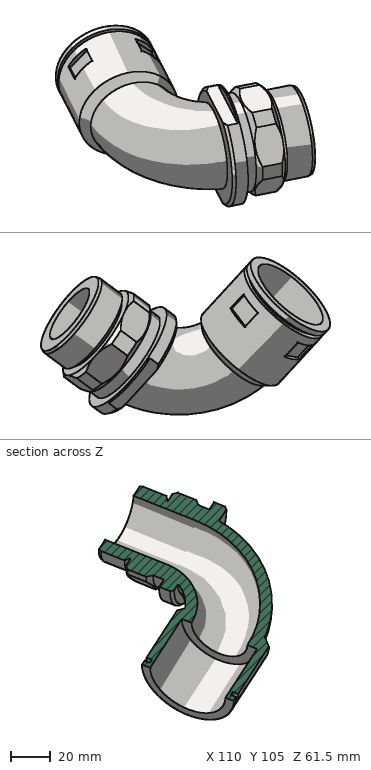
import cadquery as cq
import math

OVERALL_X = 110.0
OVERALL_Y = 105.0

FLANGE_DIA = 61.5
SLEEVE_DIA = 52.0
PIPE_DIA = 44.0
BORE_DIA = 31.5
BEND_RADIUS = 44.0

SOCKET_DIA = 42.5
GROOVE_DIA = 46.0
GROOVE_START = 3.1
GROOVE_END = 5.1
SLEEVE_LENGTH = 39.5
CONE_TIP_RADIUS = 18.7

WINDOW_START = 10.0
WINDOW_LENGTH = 10.3
WINDOW_WIDTH = 13.2
WINDOW_FLOOR = 23.9
WINDOW_COUNT = 4

FLANGE_BOTTOM = 59.1
FLANGE_TOP = 67.0
FLANGE_CHAMFER = 1.5
FLANGE_FLATS_WIDTH = SLEEVE_DIA
FLANGE_RIM = 1.0
COLLAR_DIA = 51.0
NUT_BOTTOM = 72.9
NUT_TOP = 88.1
NUT_FLATS_WIDTH = SLEEVE_DIA
NUT_CORNER_DIA = 55.9
NUT_BOTTOM_CHAMFER = 2.6
NUT_TOP_CHAMFER = 2.1
NUT_TOP_DIA = 52.1
NECK_DIA = 41.5
THREAD_DIA = 47.0
THREAD_START = 90.1
THREAD_CHAMFER_HEIGHT = 1.6
THREAD_TIP_DIA = 45.8

SLEEVE_RADIUS = SLEEVE_DIA / 2
SLEEVE_AXIS_Y = SLEEVE_RADIUS
STEM_AXIS_X = OVERALL_X - FLANGE_DIA / 2
BEND_START_X = STEM_AXIS_X - BEND_RADIUS
BEND_END_Y = SLEEVE_AXIS_Y + BEND_RADIUS


def elbow(diameter):
    """Quarter torus from the sleeve axis (+X) round to the stem axis (+Y)."""
    return (
        cq.Workplane("YZ", origin=(BEND_START_X, SLEEVE_AXIS_Y, 0))
        .circle(diameter / 2)
        .revolve(90, (BEND_RADIUS, 0, 0), (BEND_RADIUS, 1, 0))
    )


def turned_about_sleeve_axis(profile):
    """Revolve (x, radius) points about the sleeve axis."""
    return (
        cq.Workplane("XY", origin=(0, SLEEVE_AXIS_Y, 0))
        .polyline(profile)
        .close()
        .revolve(360, (0, 0, 0), (1, 0, 0))
    )


def turned_about_stem_axis(profile):
    """Revolve (radius, y) points about the stem axis."""
    return (
        cq.Workplane("XY", origin=(STEM_AXIS_X, 0, 0))
        .polyline(profile)
        .close()
        .revolve(360, (0, 0, 0), (0, 1, 0))
    )


def stem_cylinder(diameter, bottom, top):
    """Cylinder on the stem axis between two Y heights."""
    radius = diameter / 2
    return turned_about_stem_axis([(0, bottom), (radius, bottom), (radius, top), (0, top)])


def sleeve():
    """Grooved sleeve that ends in a 45 degree cone running into the pipe."""
    groove_radius = GROOVE_DIA / 2
    cone_end = SLEEVE_LENGTH + SLEEVE_RADIUS - CONE_TIP_RADIUS
    return turned_about_sleeve_axis([
        (0, 0),
        (0, SLEEVE_RADIUS),
        (GROOVE_START, SLEEVE_RADIUS),
        (GROOVE_START, groove_radius),
        (GROOVE_END, groove_radius),
        (GROOVE_END, SLEEVE_RADIUS),
        (SLEEVE_LENGTH, SLEEVE_RADIUS),
        (cone_end, CONE_TIP_RADIUS),
        (cone_end, 0),
    ])


def latch_windows():
    """Flat-bottomed pockets at 45 degrees to the Y and Z axes."""
    pocket = cq.Workplane("XY").box(
        WINDOW_LENGTH, WINDOW_WIDTH, SLEEVE_RADIUS, centered=(False, True, False)
    ).translate((WINDOW_START, 0, WINDOW_FLOOR))
    pitch = 360 / WINDOW_COUNT
    windows = cq.Workplane("XY")
    for index in range(WINDOW_COUNT):
        angle = pitch * (index + 0.5)
        windows = windows.add(pocket.rotate((0, 0, 0), (1, 0, 0), angle))
    return windows.combine().translate((0, SLEEVE_AXIS_Y, 0))


def flange():
    """Round flange with a chamfered lower edge and two wrench flats."""
    radius = FLANGE_DIA / 2
    disc = turned_about_stem_axis([
        (0, FLANGE_BOTTOM),
        (radius - FLANGE_CHAMFER, FLANGE_BOTTOM),
        (radius, FLANGE_BOTTOM + FLANGE_CHAMFER),
        (radius, FLANGE_TOP),
        (0, FLANGE_TOP),
    ])
    flats_height = FLANGE_TOP - FLANGE_RIM - FLANGE_BOTTOM
    for side in (1, -1):
        waste = cq.Workplane("XY").box(
            FLANGE_DIA, flats_height, FLANGE_DIA, centered=(True, False, True)
        )
        waste_z = side * (FLANGE_FLATS_WIDTH + FLANGE_DIA) / 2
        disc = disc.cut(waste.translate((STEM_AXIS_X, FLANGE_BOTTOM, waste_z)))
    return disc


def nut():
    """Hexagon with flats facing +Z and -Z, its corners turned down to a chamfered cylinder."""
    corner_radius = NUT_CORNER_DIA / 2
    blank = turned_about_stem_axis([
        (0, NUT_BOTTOM),
        (COLLAR_DIA / 2, NUT_BOTTOM),
        (corner_radius, NUT_BOTTOM + NUT_BOTTOM_CHAMFER),
        (corner_radius, NUT_TOP - NUT_TOP_CHAMFER),
        (NUT_TOP_DIA / 2, NUT_TOP),
        (0, NUT_TOP),
    ])
    hexagon = (
        cq.Workplane("XZ", origin=(STEM_AXIS_X, NUT_BOTTOM, 0))
        .polygon(6, NUT_FLATS_WIDTH / math.cos(math.radians(30)))
        .extrude(-(NUT_TOP - NUT_BOTTOM))
    )
    return blank.intersect(hexagon)


def threaded_end():
    """Plain thread cylinder with a conical run-out and a chamfered tip."""
    radius = THREAD_DIA / 2
    return turned_about_stem_axis([
        (0, NUT_TOP),
        (NECK_DIA / 2, NUT_TOP),
        (radius, THREAD_START),
        (radius, OVERALL_Y - THREAD_CHAMFER_HEIGHT),
        (THREAD_TIP_DIA / 2, OVERALL_Y),
        (0, OVERALL_Y),
    ])


def passage():
    """Socket in the sleeve, curved bore of the elbow and straight bore of the stem."""
    socket_radius = SOCKET_DIA / 2
    socket = turned_about_sleeve_axis([
        (0, 0),
        (0, socket_radius),
        (BEND_START_X, socket_radius),
        (BEND_START_X, 0),
    ])
    stem_bore = stem_cylinder(BORE_DIA, BEND_END_Y, OVERALL_Y)
    return socket.union(elbow(BORE_DIA)).union(stem_bore)


body = elbow(PIPE_DIA).union(sleeve()).union(flange())
body = body.union(stem_cylinder(COLLAR_DIA, FLANGE_TOP, NUT_BOTTOM))
body = body.union(nut()).union(threaded_end())
result = body.cut(latch_windows()).cut(passage())